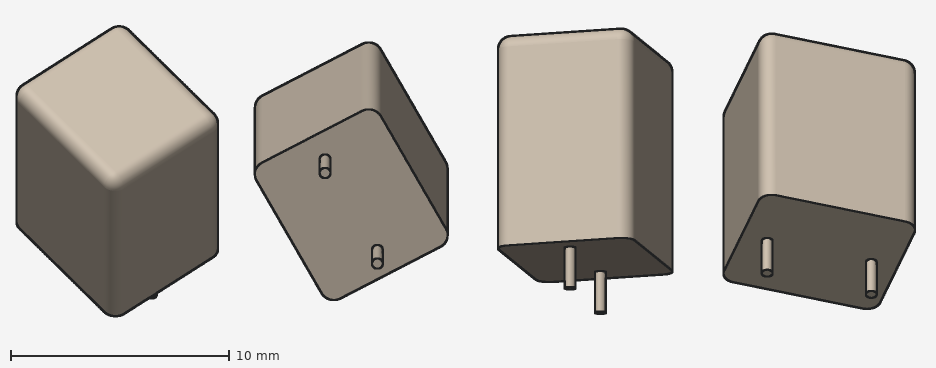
import cadquery as cq

body_length = 7.5
body_width = 6.5
total_height = 11.9
pin_length = 1.9
body_height = total_height - pin_length
edge_radius = 0.64

pin_diameter = 0.5
pin_spacing = 5.0


def make_body():
    """Block with rounded upright and top edges and a sharp-edged flat base."""
    block = cq.Workplane("XY").box(body_length, body_width, body_height, centered=(True, True, False))
    return block.edges("|Z or >Z").fillet(edge_radius)


def make_pins():
    """Two pins hanging from the base, spaced along X on the body centreline."""
    pin_places = [(-pin_spacing / 2, 0), (pin_spacing / 2, 0)]
    return cq.Workplane("XY").pushPoints(pin_places).circle(pin_diameter / 2).extrude(-pin_length)


result = make_body().union(make_pins())